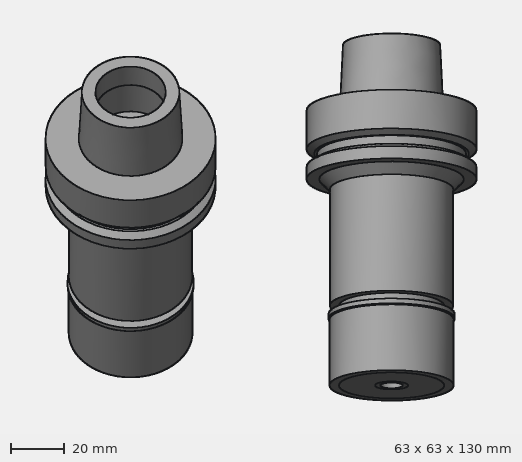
import cadquery as cq

total_height = 130.0

shank_length = 25.0
shank_top_diameter = 36.1
shank_base_diameter = 38.5

flange_diameter = 63.0
flange_upper_width = 14.8
groove_chamfer_height = 1.7
groove_chamfer_depth = 2.9
groove_floor_width = 3.4
groove_diameter = 55.2
flange_lower_width = 4.7
shoulder_cone_height = 3.9

body_diameter = 45.8
neck_diameter = 39.0
neck_top = 30.4

nut_height = 27.3
nut_diameter = 46.0
collar_diameter = 46.8
collar_width = 2.2
collar_chamfer = 0.4

socket_diameter = 26.0
socket_mouth_depth = 10.0
socket_undercut_diameter = 29.1
socket_depth = 26.0
collet_diameter = 12.2
collet_bore_diameter = 8.3
collet_height = neck_top

flange_top = total_height - shank_length
upper_rim_bottom = flange_top - flange_upper_width
groove_top = upper_rim_bottom - groove_chamfer_height
groove_bottom = groove_top - groove_floor_width
lower_rim_top = groove_bottom - groove_chamfer_height
flange_bottom = lower_rim_top - flange_lower_width
body_top = flange_bottom - shoulder_cone_height
flange_radius = flange_diameter / 2
groove_radius = groove_diameter / 2
groove_lip_radius = flange_radius - groove_chamfer_depth
body_radius = body_diameter / 2
shoulder_radius = body_radius + shoulder_cone_height


def revolve_profile(points):
    """Turn a closed (radius, height) outline around the Z axis."""
    return cq.Workplane("XZ").polyline(points).close().revolve(360, (0, 0), (0, 1))


def cylinder(diameter, bottom, top):
    return cq.Workplane("XY").workplane(offset=bottom).circle(diameter / 2).extrude(top - bottom)


def make_socket():
    """Hollow of the shank: a straight mouth that opens into a wider undercut."""
    mouth_radius = socket_diameter / 2
    undercut_radius = socket_undercut_diameter / 2
    mouth_bottom = total_height - socket_mouth_depth
    socket_floor = total_height - socket_depth
    return revolve_profile([
        (0, total_height),
        (mouth_radius, total_height),
        (mouth_radius, mouth_bottom),
        (undercut_radius, mouth_bottom),
        (undercut_radius, socket_floor),
        (0, socket_floor),
    ])


def make_holder():
    """Shank, flange, body and neck in one turned piece."""
    blank = revolve_profile([
        (0, total_height),
        (shank_top_diameter / 2, total_height),
        (shank_base_diameter / 2, flange_top),
        (flange_radius, flange_top),
        (flange_radius, upper_rim_bottom),
        (groove_lip_radius, groove_top),
        (groove_radius, groove_top),
        (groove_radius, groove_bottom),
        (groove_lip_radius, groove_bottom),
        (flange_radius, lower_rim_top),
        (flange_radius, flange_bottom),
        (shoulder_radius, flange_bottom),
        (body_radius, body_top),
        (body_radius, neck_top),
        (neck_diameter / 2, neck_top),
        (neck_diameter / 2, 0),
        (0, 0),
    ])
    collet_bore = cylinder(collet_diameter, 0, total_height)
    return blank.cut(make_socket()).cut(collet_bore)


def make_nut():
    """Ring around the neck with a raised collar at its upper end."""
    nut_radius = nut_diameter / 2
    collar_radius = collar_diameter / 2
    bore_radius = neck_diameter / 2
    collar_bottom = nut_height - collar_width
    return revolve_profile([
        (bore_radius, 0),
        (nut_radius, 0),
        (nut_radius, collar_bottom),
        (collar_radius, collar_bottom + collar_chamfer),
        (collar_radius, nut_height),
        (bore_radius, nut_height),
    ])


def make_collet():
    """Plain sleeve in the lower end of the holder's bore."""
    sleeve = cylinder(collet_diameter, 0, collet_height)
    return sleeve.cut(cylinder(collet_bore_diameter, 0, collet_height))


holder = make_holder()
nut = make_nut()
collet = make_collet()

result = cq.Compound.makeCompound([holder.val(), nut.val(), collet.val()])